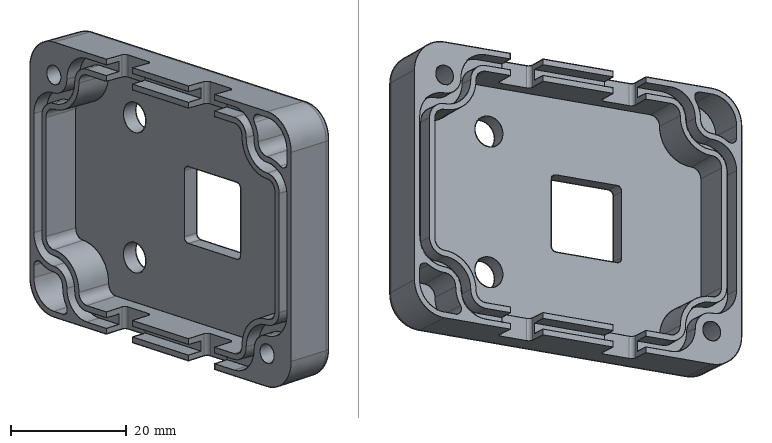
import cadquery as cq
import math


width = 65.0
height = 50.0
depth = 10.0
corner_radius = 6.0
back_edge_radius = 1.5

draft_angle = 1.0

lip_width = 1.05
groove_width = 1.95
inner_wall = 1.05
groove_depth = 3.0
floor_thickness = 3.0
boss_radius = 3.25

corner_x = width / 2 - corner_radius
corner_z = height / 2 - corner_radius
screw_diameter = 3.5
pocket_wall = 1.05
pocket_edge_radius = 1.1
pocket_depth = depth - floor_thickness

notch_width = 6.5
notch_depth = 4.5
notch_radius = 0.8
notch_offset = 10.2

window_size = 14.0
window_x = 5.65
window_radius = 1.0
port_diameter = 5.5
port_x = -13.7
port_z = 12.75

bend_spacing = corner_radius - lip_width + boss_radius
diagonal = math.sqrt(0.5)


def sketch():
    """Workplane on the rim; extruding by a negative length goes into the body."""
    return cq.Workplane("XZ")


def mirrored(quarter):
    """Complete a shape from its +X +Z quarter."""
    half = quarter.union(quarter.mirror("YZ"))
    return half.union(half.mirror("XY"))


def scalloped_block(inset, length):
    """Rounded block, inset from the outer faces, that bends around the four corner bosses."""
    side_x = width / 2 - inset
    side_z = height / 2 - inset
    convex = corner_radius - inset
    concave = bend_spacing - convex
    low_bend_z = corner_z - bend_spacing
    high_bend_x = corner_x - bend_spacing
    quarter = (
        sketch()
        .lineTo(side_x, 0)
        .lineTo(side_x, low_bend_z)
        .threePointArc(
            (corner_x + convex * diagonal, low_bend_z + convex * diagonal),
            (corner_x, low_bend_z + convex),
        )
        .threePointArc(
            (corner_x - concave * diagonal, corner_z - concave * diagonal),
            (corner_x - concave, corner_z),
        )
        .threePointArc(
            (high_bend_x + convex * diagonal, corner_z + convex * diagonal),
            (high_bend_x, side_z),
        )
        .lineTo(0, side_z)
        .close()
        .extrude(-length)
    )
    return mirrored(quarter)


def rounded_block(size_x, size_z, length, radius):
    """Rectangular block from the rim plane with rounded edges along Y."""
    return sketch().rect(size_x, size_z).extrude(-length).edges("|Y").fillet(radius)


def drafted(straight_block, length, angle=draft_angle):
    """Narrow a block from its rim outline to the back; a negative angle widens it."""
    outline = straight_block.faces("<Y").wires().val()
    draft_direction = cq.Vector(0, length, 0)
    return cq.Workplane(cq.Solid.extrudeLinear(outline, [], draft_direction, angle))


def make_body():
    body = drafted(rounded_block(width, height, depth, corner_radius), depth)
    return body.faces(">Y").edges().fillet(back_edge_radius)


def make_groove():
    """Channel whose two side walls close in towards its bottom."""
    outside = scalloped_block(lip_width, groove_depth)
    inside = scalloped_block(lip_width + groove_width, groove_depth)
    return drafted(outside, groove_depth).cut(drafted(inside, groove_depth, -draft_angle))


def make_cavity():
    cavity_depth = depth - floor_thickness
    return drafted(scalloped_block(lip_width + groove_width + inner_wall, cavity_depth), cavity_depth)


def make_notch(x):
    """Notch through both long walls, with its inner corners rounded."""
    notch = sketch().center(x, 0).rect(notch_width, height).extrude(-notch_depth)
    return notch.faces(">Y").edges("|Z").fillet(notch_radius)


def make_pocket():
    """Pocket in the +X +Z corner, between the outer skin and a wall along the groove."""
    skin_x = width / 2 - lip_width
    skin_z = height / 2 - lip_width
    skin_radius = corner_radius - lip_width
    inner_radius = boss_radius - pocket_wall
    bend_radius = bend_spacing - inner_radius
    low_bend_z = corner_z - bend_spacing
    high_bend_x = corner_x - bend_spacing
    tip_run = math.sqrt(bend_radius**2 - skin_radius**2)
    mid_angle = math.atan2(skin_radius, tip_run) / 2
    bend_long = bend_radius * math.cos(mid_angle)
    bend_short = bend_radius * math.sin(mid_angle)
    pocket = (
        sketch()
        .moveTo(corner_x, skin_z)
        .threePointArc(
            (corner_x + skin_radius * diagonal, corner_z + skin_radius * diagonal),
            (skin_x, corner_z),
        )
        .lineTo(skin_x, low_bend_z + tip_run)
        .threePointArc(
            (corner_x + bend_short, low_bend_z + bend_long),
            (corner_x, corner_z - inner_radius),
        )
        .threePointArc(
            (corner_x - inner_radius * diagonal, corner_z - inner_radius * diagonal),
            (corner_x - inner_radius, corner_z),
        )
        .threePointArc(
            (high_bend_x + bend_long, corner_z + bend_short),
            (high_bend_x + tip_run, skin_z),
        )
        .close()
        .extrude(-pocket_depth)
    )
    pocket = pocket.edges("|Y").edges("<X").fillet(pocket_edge_radius)
    pocket = pocket.edges("|Y").edges("<Z").fillet(pocket_edge_radius)
    return drafted(pocket, pocket_depth)


def make_floor_openings():
    window = rounded_block(window_size, window_size, depth, window_radius).translate((window_x, 0, 0))
    ports = (
        sketch()
        .pushPoints([(port_x, port_z), (port_x, -port_z)])
        .circle(port_diameter / 2)
        .extrude(-depth)
    )
    return window.union(ports)


def make_screw_holes():
    return (
        sketch()
        .pushPoints([(-corner_x, corner_z), (corner_x, -corner_z)])
        .circle(screw_diameter / 2)
        .extrude(-depth)
    )


result = make_body()
result = result.cut(make_cavity())
result = result.cut(make_groove())
for notch_x in (-notch_offset, notch_offset):
    result = result.cut(make_notch(notch_x))
corner_pocket = make_pocket()
result = result.cut(corner_pocket)
result = result.cut(corner_pocket.rotate((0, 0, 0), (0, 1, 0), 180))
result = result.cut(make_screw_holes())
result = result.cut(make_floor_openings())